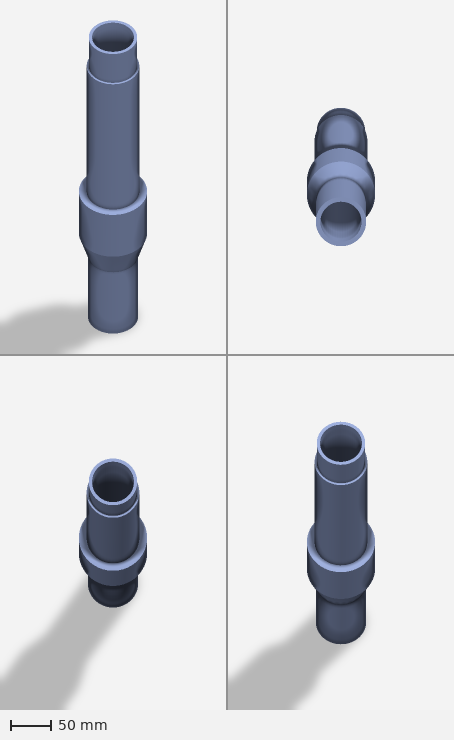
import cadquery as cq

total_length = 483.0
collar_diameter = 85.0
lower_diameter = 63.0
sleeve_diameter = 65.5
spigot_diameter = 60.5
lower_bore_diameter = 51.0
upper_bore_diameter = 52.0

lower_length = 106.5
taper_length = 37.5
collar_length = 72.5
spigot_length = 49.7

taper_top = lower_length + taper_length
collar_top = taper_top + collar_length
sleeve_top = total_length - spigot_length


def revolved_body():
    """Solid outer shape: lower pipe, taper, collar, sleeve and spigot."""
    profile = (
        cq.Workplane("XZ")
        .moveTo(0, 0)
        .lineTo(lower_diameter / 2, 0)
        .lineTo(lower_diameter / 2, lower_length)
        .lineTo(collar_diameter / 2, taper_top)
        .lineTo(collar_diameter / 2, collar_top)
        .lineTo(sleeve_diameter / 2, collar_top)
        .lineTo(sleeve_diameter / 2, sleeve_top)
        .lineTo(spigot_diameter / 2, sleeve_top)
        .lineTo(spigot_diameter / 2, total_length)
        .lineTo(0, total_length)
        .close()
    )
    return profile.revolve(360, (0, 0, 0), (0, 1, 0))


def stepped_bore():
    """Bore open from end to end, slightly wider above the taper."""
    lower_bore = cq.Workplane("XY").circle(lower_bore_diameter / 2).extrude(total_length)
    upper_bore = (
        cq.Workplane("XY")
        .workplane(offset=taper_top)
        .circle(upper_bore_diameter / 2)
        .extrude(total_length - taper_top)
    )
    return lower_bore.union(upper_bore)


result = revolved_body().cut(stepped_bore())